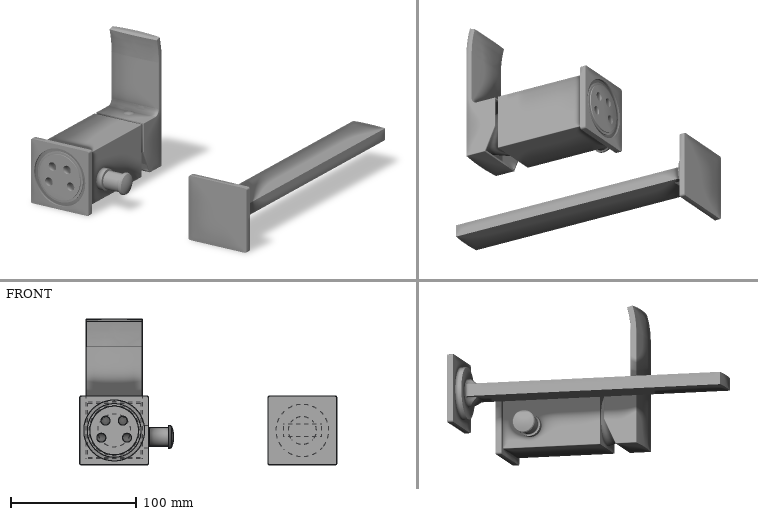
import cadquery as cq
import math


plate_side = 55.0
plate_thickness = 5.0
plate_corner_radius = 1.5
spout_x = 150.0

edge_radius = 0.5

housing_side = 45.0
housing_end_y = 85.0

neck_base_radius = 20.0
neck_taper = 0.3

groove_outer_radius = 24.3
groove_inner_radius = 21.5
groove_depth = 1.8
insert_face_radius = 19.5
insert_step_depth = 1.0
port_radius = 3.5
port_depth = 9.0
upper_port_x = 7.0
upper_port_z = 7.8
lower_port_x = 10.3
lower_port_z = -5.8

knob_y = 27.6
knob_z = -5.1
collar_radius = 9.0
collar_end_x = 27.5
knob_groove_radius = 6.7
knob_start_x = 28.3
knob_radius = 7.5
flange_radius = 9.1
flange_start_x = 43.2
flange_end_x = 44.5
flange_chamfer_radius = 8.5
flange_chamfer_end_x = 45.7
knob_tip_x = 47.5

lever_front_y = 88.0
lever_slant_top_z = -2.2
lever_slant_end_y = 97.6
blade_front_y = 110.0
blade_back_y = 114.8
blade_front_bulge = 0.7
blade_back_bulge = 1.3
blade_bend_z = 67.0
blade_bend_radius = 75.8
blade_tip_z = 89.2
lever_fillet_radius = 5.0
lever_wall = 1.1
lever_cavity_end_y = 108.0
button_y = 101.2
button_radius = 4.5
button_height = 0.78

disc_radius = 21.0
disc_end_y = 10.0
stem_radius = 11.1
stem_slant_start_y = 12.7
stem_end_y = 20.0
bar_width = 30.3
bar_thickness = 10.0
bar_start_y = 11.4
bar_end_y = 223.0
bar_corner_radius = 3.8
bar_end_bulge = 1.0


def wall_plate(centre_x):
    plate = cq.Workplane("XZ", origin=(centre_x, 0, 0)).rect(plate_side, plate_side)
    return plate.extrude(-plate_thickness).edges("|Y").fillet(plate_corner_radius)


def cylinder_along_y(x, z, radius, start_y, end_y):
    return cq.Workplane("XZ", origin=(x, start_y, z)).circle(radius).extrude(start_y - end_y)


def neck():
    """Cone that runs from the housing to the back wall of the lever cavity."""
    end_y = lever_cavity_end_y
    end_radius = neck_base_radius - neck_taper * (end_y - housing_end_y)
    profile = cq.Workplane("XY").polyline(
        [(0, housing_end_y), (neck_base_radius, housing_end_y), (end_radius, end_y), (0, end_y)]
    )
    return profile.close().revolve(360, (0, 0, 0), (0, 1, 0))


def insert_groove():
    """Ring groove with a shallower step on its inner side."""
    profile = cq.Workplane("XY").polyline(
        [
            (insert_face_radius, 0),
            (groove_outer_radius, 0),
            (groove_outer_radius, groove_depth),
            (groove_inner_radius, groove_depth),
            (groove_inner_radius, insert_step_depth),
            (insert_face_radius, insert_step_depth),
        ]
    )
    return profile.close().revolve(360, (0, 0, 0), (0, 1, 0))


def flat_port(x, z):
    """Blind water port with a flat end."""
    return cylinder_along_y(x, z, port_radius, 0, port_depth)


def round_port(x, z):
    """Blind water port whose end is a half round trough along X."""
    bore = cylinder_along_y(x, z, port_radius, 0, port_depth)
    trough_y = port_depth - port_radius
    trough = (
        cq.Workplane("YZ", origin=(x - port_radius, trough_y, z)).circle(port_radius).extrude(2 * port_radius)
    )
    straight = cylinder_along_y(x, z, port_radius, 0, trough_y)
    return bore.intersect(trough).union(straight)


def knob():
    """Collar, thin groove, grip and domed flange, all turned about one X axis."""
    dome_height = knob_tip_x - flange_chamfer_end_x
    dome_radius = (flange_chamfer_radius**2 + dome_height**2) / (2 * dome_height)
    profile = (
        cq.Workplane("XY", origin=(0, knob_y, knob_z))
        .moveTo(housing_side / 2, 0)
        .lineTo(housing_side / 2, collar_radius)
        .lineTo(collar_end_x, collar_radius)
        .lineTo(collar_end_x, knob_groove_radius)
        .lineTo(knob_start_x, knob_groove_radius)
        .lineTo(knob_start_x, knob_radius)
        .lineTo(flange_start_x, knob_radius)
        .lineTo(flange_start_x, flange_radius)
        .lineTo(flange_end_x, flange_radius)
        .lineTo(flange_chamfer_end_x, flange_chamfer_radius)
        .radiusArc((knob_tip_x, 0), dome_radius)
        .close()
    )
    return profile.revolve(360, (0, 0, 0), (1, 0, 0))


def build_mixer():
    housing = cq.Workplane("XZ").rect(housing_side, housing_side).extrude(-housing_end_y)
    housing = housing.edges("|Y").fillet(edge_radius)
    mixer = wall_plate(0).union(housing).union(neck()).union(knob()).cut(insert_groove())
    for side in (-1, 1):
        mixer = mixer.cut(flat_port(side * upper_port_x, upper_port_z))
        mixer = mixer.cut(round_port(side * lower_port_x, lower_port_z))
    return mixer


def blade_section(z):
    """Flat section of the blade with a bulging front and back."""
    half = housing_side / 2
    return (
        cq.Workplane("XY", origin=(0, 0, z))
        .moveTo(-half, blade_front_y)
        .threePointArc((0, blade_front_y - blade_front_bulge), (half, blade_front_y))
        .lineTo(half, blade_back_y)
        .threePointArc((0, blade_back_y + blade_back_bulge), (-half, blade_back_y))
        .close()
    )


def button():
    """Shallow dome on top of the lever."""
    sphere_radius = (button_radius**2 + button_height**2) / (2 * button_height)
    top_z = housing_side / 2 + button_height
    ball = cq.Workplane("XY").sphere(sphere_radius).translate((0, button_y, top_z - sphere_radius))
    base = cq.Workplane("XY", origin=(0, button_y, 0)).circle(button_radius).extrude(top_z)
    return ball.intersect(base)


def lever_cavity():
    """Pocket around the neck, open towards the housing."""
    width = housing_side - 2 * lever_wall
    pocket = cq.Workplane("XZ", origin=(0, housing_end_y, 0)).rect(width, width)
    return pocket.extrude(housing_end_y - lever_cavity_end_y)


def build_lever():
    half = housing_side / 2
    block = (
        cq.Workplane("YZ", origin=(-half, 0, 0))
        .polyline(
            [
                (lever_front_y, half),
                (lever_front_y, lever_slant_top_z),
                (lever_slant_end_y, -half),
                (blade_back_y, -half),
                (blade_back_y, half),
            ]
        )
        .close()
        .extrude(housing_side)
    )
    straight_blade = blade_section(-half).extrude(blade_bend_z + half)
    lever = block.union(straight_blade)
    inner_corner = (0, blade_front_y - blade_front_bulge, half)
    lever = lever.edges(cq.selectors.NearestToPointSelector(inner_corner)).fillet(lever_fillet_radius)
    bend_centre_y = blade_back_y + blade_back_bulge - blade_bend_radius
    bend_angle = math.degrees(math.asin((blade_tip_z - blade_bend_z) / blade_bend_radius))
    tip_y = bend_centre_y + blade_bend_radius * math.cos(math.radians(bend_angle))
    bent_tip = blade_section(blade_bend_z).revolve(
        bend_angle, (0, bend_centre_y, 0), (1, bend_centre_y, 0)
    )
    lever = lever.union(bent_tip)
    tip_face = lever.faces(cq.selectors.NearestToPointSelector((0, tip_y, blade_tip_z)))
    lever = lever.faces("<X or >X").edges().add(tip_face.edges()).fillet(edge_radius)
    return lever.union(button()).cut(lever_cavity())


def spout_stem():
    """Cylinder with two slanted flats that run down to the faces of the bar."""
    face_z = bar_thickness / 2
    side_profile = (
        cq.Workplane("YZ", origin=(spout_x - stem_radius, 0, 0))
        .polyline(
            [
                (plate_thickness, -stem_radius),
                (stem_slant_start_y, -stem_radius),
                (stem_end_y, -face_z),
                (stem_end_y, face_z),
                (stem_slant_start_y, stem_radius),
                (plate_thickness, stem_radius),
            ]
        )
        .close()
        .extrude(2 * stem_radius)
    )
    return cylinder_along_y(spout_x, 0, stem_radius, plate_thickness, stem_end_y).intersect(side_profile)


def spout_bar():
    """Flat bar with rounded corners at the wall and a bulging free end."""
    left_x = spout_x - bar_width / 2
    right_x = spout_x + bar_width / 2
    shoulder_y = bar_end_y - bar_end_bulge
    bar = (
        cq.Workplane("XY", origin=(0, 0, -bar_thickness / 2))
        .moveTo(left_x, bar_start_y)
        .lineTo(right_x, bar_start_y)
        .lineTo(right_x, shoulder_y)
        .threePointArc((spout_x, bar_end_y), (left_x, shoulder_y))
        .close()
        .extrude(bar_thickness)
    )
    return bar.edges("|Z and <Y").fillet(bar_corner_radius)


def build_spout():
    disc = cylinder_along_y(spout_x, 0, disc_radius, plate_thickness, disc_end_y)
    return wall_plate(spout_x).union(disc).union(spout_stem()).union(spout_bar())


mixer = build_mixer()
lever = build_lever()
spout = build_spout()

result = cq.Compound.makeCompound([mixer.val(), lever.val(), spout.val()])